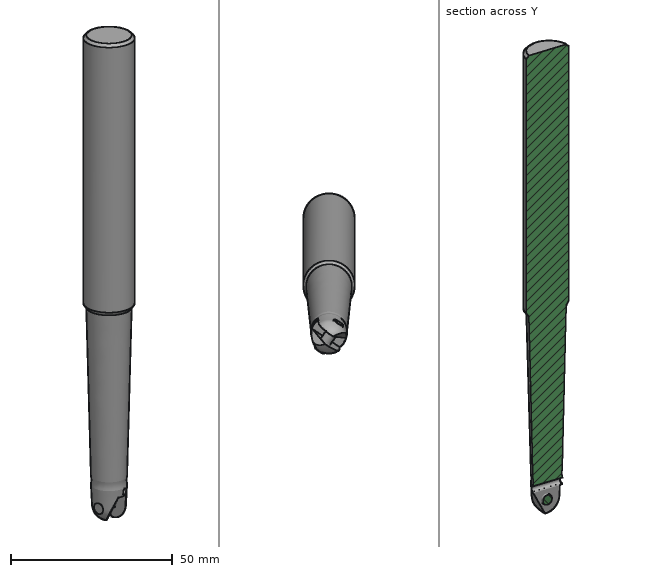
import cadquery as cq
import math

total_length = 161.1
shank_radius = 7.97
shank_bottom = 71.9
top_chamfer = 1.0

neck_top = 70.5
neck_top_radius = 7.1
neck_bottom = 14.3
neck_bottom_radius = 5.6
waist_radius = 5.5
collar_bottom = 11.5

tip_radius = 5.3
slot_width = 3.4
slot_top = 8.9
tip_center = math.sqrt(tip_radius**2 - (slot_width / 2) ** 2)
cutter_length = 4 * tip_radius

relief_diameter = 2.0
relief_y = 0.8
relief_z = 10.1

cut_start_x = 0.3
cut_end_x = 5.0
cut_tilt = 20.0
cut_depth = 16.1

pin_radius = 1.8
pin_length = 10.6


def cross_cylinder(radius, length):
    """Cylinder along Y, centred at the middle of the rounded tip."""
    return (
        cq.Workplane("XZ", origin=(0, length / 2, tip_center))
        .circle(radius)
        .extrude(length)
    )


def holder_blank():
    """Shank, tapered neck and rounded tip as one turned shape."""
    waist_height = (collar_bottom + neck_bottom) / 2
    tip_arc_offset = tip_radius * math.sqrt(0.5)
    return (
        cq.Workplane("XZ")
        .moveTo(0, tip_center - tip_radius)
        .threePointArc((tip_arc_offset, tip_center - tip_arc_offset), (tip_radius, tip_center))
        .lineTo(neck_bottom_radius, collar_bottom)
        .threePointArc((waist_radius, waist_height), (neck_bottom_radius, neck_bottom))
        .lineTo(neck_top_radius, neck_top)
        .lineTo(shank_radius, shank_bottom)
        .lineTo(shank_radius, total_length - top_chamfer)
        .lineTo(shank_radius - top_chamfer, total_length)
        .lineTo(0, total_length)
        .close()
        .revolve(360, (0, 0), (0, 1))
    )


def tip_slot():
    """Slot that runs through the tip along X, open at the bottom."""
    return cq.Workplane("XY").box(cutter_length, slot_width, 2 * slot_top)


def relief_hole():
    """Small hole through the neck along X, just above the slot."""
    return (
        cq.Workplane("YZ", origin=(-cutter_length / 2, relief_y, relief_z))
        .circle(relief_diameter / 2)
        .extrude(cutter_length)
    )


def prong_cut():
    """Sloping wedge that clears the +X side of the prong on the -Y side."""
    run = cut_end_x - cut_start_x
    edge = -slot_width / 2
    wedge = (
        cq.Workplane("XZ", origin=(0, edge, 0))
        .moveTo(cut_start_x - run, -slot_top)
        .lineTo(cut_end_x, slot_top)
        .lineTo(cut_end_x + cut_depth, slot_top)
        .lineTo(cut_end_x + cut_depth, -slot_top)
        .close()
        .extrude(cut_depth)
    )
    return wedge.rotate((cut_start_x, edge, 0), (cut_end_x, edge, slot_top), cut_tilt)


holder = holder_blank().cut(tip_slot()).cut(relief_hole())
for turn in (0, 180):
    holder = holder.cut(prong_cut().rotate((0, 0, 0), (0, 0, 1), turn))
holder = holder.cut(cross_cylinder(pin_radius, cutter_length))

pin = cross_cylinder(pin_radius, pin_length)

result = cq.Compound.makeCompound([holder.val(), pin.val()])